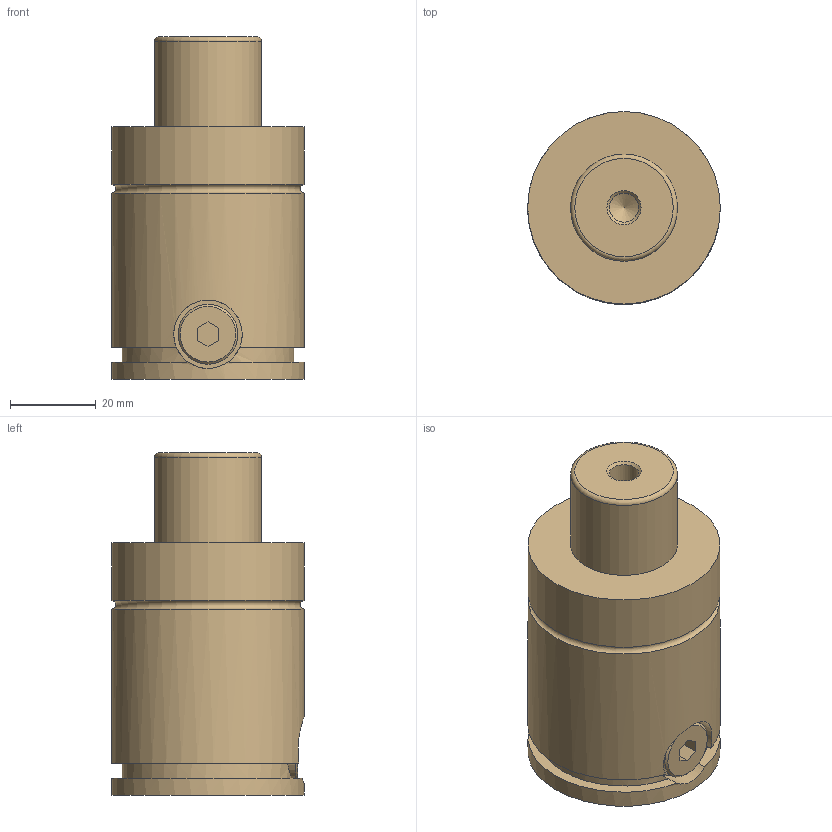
import cadquery as cq
import math

body_diameter = 45.0
body_height = 59.0
overall_height = 80.0

ring_groove_radius = 1.0
ring_groove_z = 44.5

clamp_groove_diameter = 40.0
clamp_groove_bottom = 4.0
clamp_groove_top = 7.5

rod_diameter = 25.0
rod_edge_radius = 1.0
rod_hole_diameter = 6.8
rod_hole_depth = 16.0
rod_hole_mouth_diameter = 8.0
drill_point_angle = 118.0

port_z = 10.5
port_diameter = 16.0
port_floor_y = -17.5
plug_diameter = 14.0
plug_face_y = -21.0
plug_chamfer = 0.5
hex_across_flats = 5.0
hex_depth = 6.0

body_radius = body_diameter / 2


def make_body():
    """Plain cylinder with the two turned grooves."""
    body = cq.Workplane("XY").circle(body_radius).extrude(body_height)
    ring_groove = cq.Workplane("XY").add(
        cq.Solid.makeTorus(body_radius, ring_groove_radius, cq.Vector(0, 0, ring_groove_z))
    )
    clamp_groove = (
        cq.Workplane("XY", origin=(0, 0, clamp_groove_bottom))
        .circle(body_diameter)
        .circle(clamp_groove_diameter / 2)
        .extrude(clamp_groove_top - clamp_groove_bottom)
    )
    return body.cut(ring_groove).cut(clamp_groove)


def make_rod():
    """Piston rod above the body, with a rounded end edge."""
    return (
        cq.Workplane("XY", origin=(0, 0, body_height))
        .circle(rod_diameter / 2)
        .extrude(overall_height - body_height)
        .faces(">Z")
        .edges()
        .fillet(rod_edge_radius)
    )


def make_rod_hole():
    """Blind hole with a 45 degree mouth and a conical drill point, as a turned solid."""
    hole_radius = rod_hole_diameter / 2
    mouth_radius = rod_hole_mouth_diameter / 2
    mouth_depth = mouth_radius - hole_radius
    point_length = hole_radius / math.tan(math.radians(drill_point_angle / 2))
    hole_bottom = overall_height - rod_hole_depth
    return (
        cq.Workplane("XZ")
        .moveTo(0, overall_height)
        .lineTo(mouth_radius, overall_height)
        .lineTo(hole_radius, overall_height - mouth_depth)
        .lineTo(hole_radius, hole_bottom)
        .lineTo(0, hole_bottom - point_length)
        .close()
        .revolve(360, (0, 0, 0), (0, 1, 0))
    )


def port_plane(y):
    """Sketch plane centred on the port axis and facing -Y."""
    return cq.Workplane("XZ", origin=(0, y, port_z))


def make_port_recess():
    """Round recess running from its floor out through the side of the body."""
    return port_plane(port_floor_y).circle(port_diameter / 2).extrude(body_radius)


def make_plug():
    """Chamfered plug standing on the recess floor."""
    return (
        port_plane(port_floor_y)
        .circle(plug_diameter / 2)
        .extrude(port_floor_y - plug_face_y)
        .faces("<Y")
        .edges()
        .chamfer(plug_chamfer)
    )


def make_hex_socket():
    """Hexagonal prism with one corner pointing up."""
    across_corners = hex_across_flats / math.cos(math.radians(30))
    return (
        port_plane(plug_face_y)
        .transformed(rotate=(0, 0, 90))
        .polygon(6, across_corners)
        .extrude(-hex_depth)
    )


result = (
    make_body()
    .union(make_rod())
    .cut(make_rod_hole())
    .cut(make_port_recess())
    .union(make_plug())
    .cut(make_hex_socket())
)